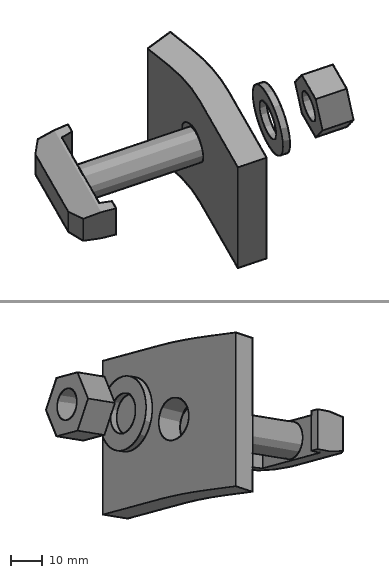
import cadquery as cq
import math


PLATE_WIDTH = 60.0
PLATE_HEIGHT = 50.0
PLATE_THICKNESS = 10.0
FLAT_LENGTH = 30.0
BEND_START_X = 3.2
BEND_OUTER_RADIUS = 60.0
BEND_ANGLE = 20.0
PLATE_HOLE_DIAMETER = 13.8
PLATE_HOLE_TILT = 10.0
PLATE_HOLE_X = -1.2

OVERALL_LENGTH = 100.0
SHANK_DIAMETER = 12.0
SHANK_LENGTH = 40.0
HEAD_FRONT_Y = -60.0
HEAD_DEPTH = 14.0
LIP_HEIGHT = 4.0
HEAD_BACK_WIDTH = 38.0
HEAD_SHOULDER_WIDTH = 36.0
HEAD_SHOULDER_RISE = 3.0
HEAD_FRONT_WIDTH = 26.0
RECESS_MOUTH_WIDTH = 31.4
RECESS_FLOOR_WIDTH = 29.6
HEAD_THICKNESS = 13.0
HEAD_FRONT_THICKNESS = 10.0
HEAD_TAPER_RISE = 9.0

WASHER_DIAMETER = 24.0
WASHER_BORE = 13.0
WASHER_THICKNESS = 2.5
WASHER_FRONT_Y = 15.0

NUT_ACROSS_FLATS = 19.0
NUT_THICKNESS = 10.8
NUT_BORE = 10.2


def disc(diameter, start_y, length):
    """Cylinder on the Y axis, running from start_y toward +Y."""
    return cq.Workplane("XZ", origin=(0, start_y, 0)).circle(diameter / 2).extrude(-length)


def make_plate():
    """Flat plate bent toward -Y at its -X end, with a tilted bolt hole."""
    angle = math.radians(BEND_ANGLE)
    inner_radius = BEND_OUTER_RADIUS - PLATE_THICKNESS
    flat_end_x = BEND_START_X + FLAT_LENGTH
    bend_width = BEND_OUTER_RADIUS * math.sin(angle)
    tab_length = (PLATE_WIDTH - FLAT_LENGTH - bend_width) / math.cos(angle)

    def bend_point(radius, turn, tangent=0.0):
        """Point on the bend, moved on along the tangent by the given length."""
        x = BEND_START_X - radius * math.sin(turn) - tangent * math.cos(turn)
        y = -BEND_OUTER_RADIUS + radius * math.cos(turn) - tangent * math.sin(turn)
        return (x, y)

    plate = (
        cq.Workplane("XY", origin=(0, 0, -PLATE_HEIGHT / 2))
        .moveTo(flat_end_x, 0)
        .lineTo(BEND_START_X, 0)
        .threePointArc(bend_point(BEND_OUTER_RADIUS, angle / 2), bend_point(BEND_OUTER_RADIUS, angle))
        .lineTo(*bend_point(BEND_OUTER_RADIUS, angle, tab_length))
        .lineTo(*bend_point(inner_radius, angle, tab_length))
        .lineTo(*bend_point(inner_radius, angle))
        .threePointArc(bend_point(inner_radius, angle / 2), (BEND_START_X, -PLATE_THICKNESS))
        .lineTo(flat_end_x, -PLATE_THICKNESS)
        .close()
        .extrude(PLATE_HEIGHT)
    )
    cutter_length = 4 * PLATE_THICKNESS
    cutter = (
        disc(PLATE_HOLE_DIAMETER, -cutter_length / 2, cutter_length)
        .rotate((0, 0, 0), (0, 0, 1), PLATE_HOLE_TILT)
        .translate((PLATE_HOLE_X, -PLATE_THICKNESS, 0))
    )
    return plate.cut(cutter)


def make_bolt():
    """Round shank on a tapered T-head with a lip at each end."""
    head_back_y = HEAD_FRONT_Y + HEAD_DEPTH
    recess_y = head_back_y - LIP_HEIGHT
    shoulder_y = HEAD_FRONT_Y + HEAD_SHOULDER_RISE
    taper_y = HEAD_FRONT_Y + HEAD_TAPER_RISE

    right_side = [
        (HEAD_FRONT_WIDTH / 2, HEAD_FRONT_Y),
        (HEAD_SHOULDER_WIDTH / 2, shoulder_y),
        (HEAD_BACK_WIDTH / 2, head_back_y),
        (RECESS_MOUTH_WIDTH / 2, head_back_y),
        (RECESS_FLOOR_WIDTH / 2, recess_y),
    ]
    left_side = [(-x, y) for x, y in reversed(right_side)]
    long_profile = (
        cq.Workplane("XY")
        .polyline(right_side + left_side)
        .close()
        .extrude(HEAD_THICKNESS / 2, both=True)
    )

    upper_side = [
        (HEAD_FRONT_Y, HEAD_FRONT_THICKNESS / 2),
        (taper_y, HEAD_THICKNESS / 2),
        (head_back_y, HEAD_THICKNESS / 2),
    ]
    lower_side = [(y, -z) for y, z in reversed(upper_side)]
    end_profile = (
        cq.Workplane("YZ")
        .polyline(upper_side + lower_side)
        .close()
        .extrude(HEAD_BACK_WIDTH / 2, both=True)
    )
    shank = disc(SHANK_DIAMETER, recess_y, SHANK_LENGTH)
    return long_profile.intersect(end_profile).union(shank)


def make_washer():
    """Flat ring floating behind the plate."""
    ring = disc(WASHER_DIAMETER, WASHER_FRONT_Y, WASHER_THICKNESS)
    return ring.cut(disc(WASHER_BORE, WASHER_FRONT_Y, WASHER_THICKNESS))


def make_nut():
    """Plain hexagonal nut with flats on top and bottom."""
    nut_front_y = HEAD_FRONT_Y + OVERALL_LENGTH - NUT_THICKNESS
    across_corners = NUT_ACROSS_FLATS / math.cos(math.radians(30))
    blank = (
        cq.Workplane("XZ", origin=(0, nut_front_y, 0))
        .polygon(6, across_corners)
        .extrude(-NUT_THICKNESS)
    )
    return blank.cut(disc(NUT_BORE, nut_front_y, NUT_THICKNESS))


plate = make_plate()
bolt = make_bolt()
washer = make_washer()
nut = make_nut()

result = cq.Compound.makeCompound([plate.val(), bolt.val(), washer.val(), nut.val()])